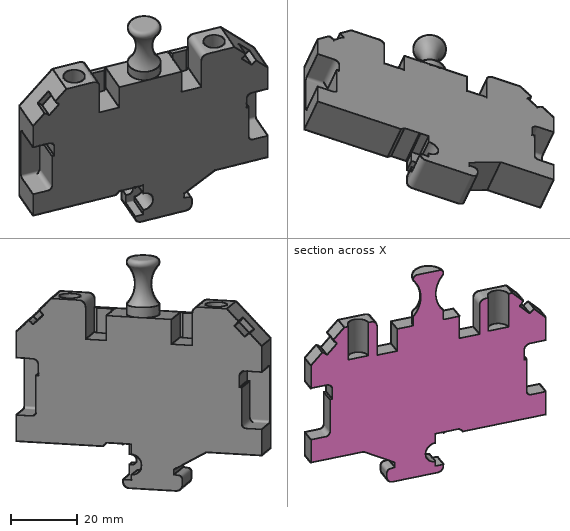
import cadquery as cq
import math

WIDTH = 11.0
LENGTH = 77.0
HALF = LENGTH / 2
BODY_BOTTOM = 12.55
TOWER_TOP = 57.5
DECK = 53.2
TOWER_INNER = 16.7
TOWER_ROUND = 2.0
SHOULDER = 10.9

FOOT_FRONT = -5.0
FOOT_BACK = 13.6
FOOT_ROUND = 2.0
HEEL_TOP = 4.8
HEEL_ROUND = 1.2
NECK_BACK = 11.0
NECK_BOTTOM = 5.1
NECK_TOP = 6.6
RAMP_START = 21.2
RECESS_TOP = 13.7
RECESS_END = -10.2
RECESS_SLOPE = RECESS_TOP - BODY_BOTTOM
RECESS_CHAMFER = 0.3
RAIL_SLOT_RADIUS = 1.6
RAIL_SLOT_Y = -4.3
RAIL_SLOT_Z = 7.2

HOLLOW_X = 3.7
HOLLOW_FLOOR = 2.6
HOLLOW_WALL = -2.3
HOLLOW_ROUND = 0.4
HOLLOW_RADIUS = 3.15
HOLLOW_AXIS_Z = 7.4

KNOB_RADIUS = 5.0
AXIS_X = WIDTH - KNOB_RADIUS
SCREW_Y = 22.95
SCREW_DIAMETER = 6.55
SCREW_DEPTH = 11.55

KNOB_TOP = 70.7
KNOB_TOP_RADIUS = 3.8
RIM_WIDEST_Z = 69.45
RIM_BOTTOM_Z = 68.6
RIM_BOTTOM_RADIUS = 4.8
WAIST_RADIUS = 2.55
COLLAR_TOP = 56.4
WAIST_Z = (RIM_BOTTOM_Z + COLLAR_TOP) / 2

POCKET_X = 1.5
ENTRY_BOTTOM = 20.7
ENTRY_TOP = 38.5
ENTRY_DEPTH = 6.2
ENTRY_STEP_Z = 33.35
ENTRY_STEP = 0.8
ENTRY_TOP_ROUND = 1.85
ENTRY_BOTTOM_ROUND = 1.4
ENTRY_CORNER_ROUND = 0.85

DECK_POCKET_INNER = 10.25
DECK_POCKET_DEPTH = 7.7
DECK_CORNER = 1.0

MARKER_X = 5.55
MARKER_TOP = 53.9
MARKER_BOTTOM = 50.35
MARKER_DEPTH = 1.9
MARKER_LIP_DEPTH = 0.9
MARKER_LIP_TAPER = 0.2


def prism(profile, x_start):
    """Extrude a closed Y-Z profile from x_start to the open side of the housing."""
    return profile.close().extrude(WIDTH - x_start)


def side_plane(x_start):
    """Y-Z sketch plane at x_start."""
    return cq.Workplane("YZ", origin=(x_start, 0, 0))


def both_ends(cutter):
    """The cutter and its mirror image at the other end of the housing."""
    return cutter.union(cutter.mirror("XZ"))


def make_body():
    body = prism(
        side_plane(0)
        .moveTo(-HALF, BODY_BOTTOM)
        .lineTo(-HALF, TOWER_TOP - SHOULDER)
        .lineTo(-HALF + SHOULDER, TOWER_TOP)
        .lineTo(-TOWER_INNER, TOWER_TOP)
        .lineTo(-TOWER_INNER, DECK)
        .lineTo(TOWER_INNER, DECK)
        .lineTo(TOWER_INNER, TOWER_TOP)
        .lineTo(HALF - SHOULDER, TOWER_TOP)
        .lineTo(HALF, TOWER_TOP - SHOULDER)
        .lineTo(HALF, BODY_BOTTOM)
        .lineTo(RAMP_START, BODY_BOTTOM)
        .lineTo(NECK_BACK, NECK_TOP)
        .lineTo(NECK_BACK, NECK_BOTTOM)
        .lineTo(FOOT_BACK, HEEL_TOP)
        .lineTo(FOOT_BACK, 0)
        .lineTo(FOOT_FRONT, 0)
        .lineTo(FOOT_FRONT, RECESS_TOP - RECESS_CHAMFER)
        .lineTo(FOOT_FRONT - RECESS_CHAMFER, RECESS_TOP)
        .lineTo(RECESS_END, RECESS_TOP)
        .lineTo(RECESS_END - RECESS_SLOPE, BODY_BOTTOM),
        0,
    )

    def edge_at(y, z):
        margin = 0.1
        return cq.selectors.BoxSelector(
            (0, y - margin, z - margin), (WIDTH, y + margin, z + margin)
        )

    for y in (-TOWER_INNER, TOWER_INNER):
        body = body.edges(edge_at(y, TOWER_TOP)).fillet(TOWER_ROUND)
    for y in (FOOT_FRONT, FOOT_BACK):
        body = body.edges(edge_at(y, 0)).fillet(FOOT_ROUND)
    return body.edges(edge_at(FOOT_BACK, HEEL_TOP)).fillet(HEEL_ROUND)


def make_rail_slot():
    round_end = side_plane(0).center(RAIL_SLOT_Y, RAIL_SLOT_Z).circle(RAIL_SLOT_RADIUS).extrude(WIDTH)
    mouth = cq.Workplane("XY").box(
        WIDTH, RAIL_SLOT_Y - FOOT_FRONT, 2 * RAIL_SLOT_RADIUS, centered=(False, False, True)
    )
    return round_end.union(mouth.translate((0, FOOT_FRONT, RAIL_SLOT_Z)))


def make_foot_hollow():
    box = (
        cq.Workplane("XY")
        .box(
            WIDTH - HOLLOW_X,
            HOLLOW_WALL - FOOT_FRONT,
            RECESS_TOP - HOLLOW_FLOOR,
            centered=False,
        )
        .translate((HOLLOW_X, FOOT_FRONT, HOLLOW_FLOOR))
        .edges("|Y and <X and <Z")
        .fillet(HOLLOW_ROUND)
    )
    channel = side_plane(HOLLOW_X).center(HOLLOW_WALL, HOLLOW_AXIS_Z).circle(HOLLOW_RADIUS)
    return box.union(channel.extrude(WIDTH - HOLLOW_X))


def make_wire_entry():
    wall = -HALF + ENTRY_DEPTH
    step_wall = wall + ENTRY_STEP
    depth_shape = prism(
        side_plane(POCKET_X)
        .moveTo(-HALF, ENTRY_BOTTOM)
        .lineTo(wall - ENTRY_BOTTOM_ROUND, ENTRY_BOTTOM)
        .radiusArc((wall, ENTRY_BOTTOM + ENTRY_BOTTOM_ROUND), -ENTRY_BOTTOM_ROUND)
        .lineTo(wall, ENTRY_STEP_Z)
        .lineTo(step_wall, ENTRY_STEP_Z)
        .lineTo(step_wall, ENTRY_TOP - ENTRY_TOP_ROUND)
        .radiusArc((step_wall - ENTRY_TOP_ROUND, ENTRY_TOP), -ENTRY_TOP_ROUND)
        .lineTo(-HALF, ENTRY_TOP),
        POCKET_X,
    )
    mouth_shape = (
        cq.Workplane("XY")
        .box(
            WIDTH - POCKET_X,
            ENTRY_DEPTH + ENTRY_STEP,
            ENTRY_TOP - ENTRY_BOTTOM,
            centered=False,
        )
        .translate((POCKET_X, -HALF, ENTRY_BOTTOM))
        .edges("|Y and <X")
        .fillet(ENTRY_CORNER_ROUND)
    )
    return depth_shape.intersect(mouth_shape)


def make_deck_pocket():
    """Pocket whose two inner corners flare towards the closed side."""
    corner_x = POCKET_X - DECK_CORNER
    return (
        cq.Workplane("XY", origin=(0, 0, DECK))
        .moveTo(WIDTH, -TOWER_INNER)
        .lineTo(corner_x, -TOWER_INNER)
        .lineTo(POCKET_X, -TOWER_INNER + DECK_CORNER)
        .lineTo(POCKET_X, -DECK_POCKET_INNER - DECK_CORNER)
        .lineTo(corner_x, -DECK_POCKET_INNER)
        .lineTo(WIDTH, -DECK_POCKET_INNER)
        .close()
        .extrude(-DECK_POCKET_DEPTH)
    )


def make_marker_slot():
    """Slot cut square to the 45 degree shoulder, with a tapered lip at its mouth."""
    mouth_half = (MARKER_TOP - MARKER_BOTTOM) / math.sqrt(2)
    floor_half = mouth_half - MARKER_LIP_TAPER
    middle_z = (MARKER_TOP + MARKER_BOTTOM) / 2
    middle_y = middle_z - TOWER_TOP + SHOULDER - HALF
    profile = [
        (-mouth_half, 0),
        (mouth_half, 0),
        (floor_half, -MARKER_LIP_DEPTH),
        (floor_half, -MARKER_DEPTH),
        (-floor_half, -MARKER_DEPTH),
        (-floor_half, -MARKER_LIP_DEPTH),
    ]
    slot = prism(side_plane(MARKER_X).polyline(profile), MARKER_X)
    return slot.rotate((0, 0, 0), (1, 0, 0), 45).translate((0, middle_y, middle_z))


def make_screw_hole():
    hole = cq.Workplane("XY", origin=(AXIS_X, -SCREW_Y, TOWER_TOP))
    return hole.circle(SCREW_DIAMETER / 2).extrude(-SCREW_DEPTH)


def make_knob():
    return (
        cq.Workplane("XZ")
        .moveTo(0, DECK)
        .lineTo(KNOB_RADIUS, DECK)
        .lineTo(KNOB_RADIUS, COLLAR_TOP)
        .threePointArc((WAIST_RADIUS, WAIST_Z), (RIM_BOTTOM_RADIUS, RIM_BOTTOM_Z))
        .threePointArc((KNOB_RADIUS, RIM_WIDEST_Z), (KNOB_TOP_RADIUS, KNOB_TOP))
        .lineTo(0, KNOB_TOP)
        .close()
        .revolve(360, (0, 0, 0), (0, 1, 0))
        .translate((AXIS_X, 0, 0))
    )


result = make_body().cut(make_rail_slot()).cut(make_foot_hollow())
for end_cutter in (make_wire_entry(), make_deck_pocket(), make_marker_slot(), make_screw_hole()):
    result = result.cut(both_ends(end_cutter))
result = result.union(make_knob())